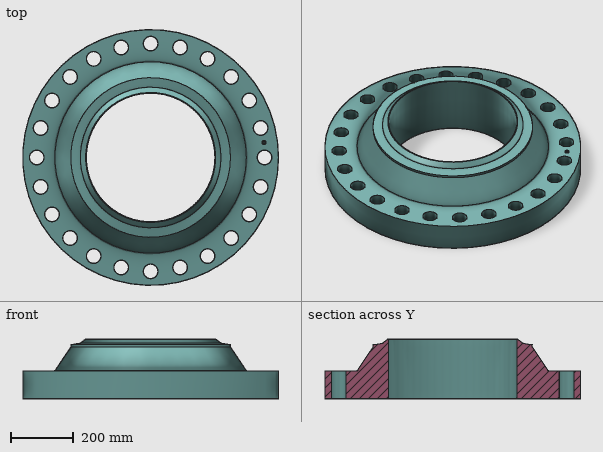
import cadquery as cq
import math

flange_diameter = 812.5
flange_thickness = 89

total_height = 190.0
hub_base_radius = 306.0
hub_foot_radius = 304.0
hub_foot_height = 0.4
rim_radius = 253.5
rim_bottom = 165.0
rim_top = 172.0
bevel_base_radius = 223.5
bevel_base_height = 177.0
bevel_step_height = 1.0
bevel_foot_radius = 223.0
bevel_top_radius = 206.0
bore_radius = 204.0

bolt_count = 24
bolt_hole_diameter = 45.5
bolt_circle_radius = 361.5
bolt_pitch_angle = 360 / bolt_count

small_hole_circle_radius = 363.0
small_hole_diameter = 6.5
small_hole_depth = 32.5
counterbore_diameter = 13.0
counterbore_depth = 2.0


def flange_body():
    """Revolve the half section of plate, hub and welding end around the Z axis."""
    outer_radius = flange_diameter / 2
    half_section = [
        (bore_radius, 0),
        (outer_radius, 0),
        (outer_radius, flange_thickness),
        (hub_base_radius, flange_thickness),
        (hub_foot_radius, flange_thickness + hub_foot_height),
        (rim_radius, rim_bottom),
        (rim_radius, rim_top),
        (bevel_base_radius, bevel_base_height),
        (bevel_foot_radius, bevel_base_height + bevel_step_height),
        (bevel_top_radius, total_height),
        (bore_radius, total_height),
    ]
    return cq.Workplane("XZ").polyline(half_section).close().revolve(360, (0, 0), (0, 1))


def bolt_holes():
    """Through holes evenly spaced on the bolt circle, the first one on +X."""
    return (
        cq.Workplane("XY")
        .polarArray(bolt_circle_radius, 0, 360, bolt_count)
        .circle(bolt_hole_diameter / 2)
        .extrude(flange_thickness)
    )


def drill_small_hole(body):
    """Sink the small counterbored hole into the top of the plate."""
    angle = math.radians(bolt_pitch_angle / 2)
    hole_x = small_hole_circle_radius * math.cos(angle)
    hole_y = small_hole_circle_radius * math.sin(angle)
    plate_top = cq.Workplane("XY", origin=(hole_x, hole_y, flange_thickness))
    counterbore = plate_top.circle(counterbore_diameter / 2).extrude(-counterbore_depth)
    hole = plate_top.circle(small_hole_diameter / 2).extrude(-small_hole_depth)
    return body.cut(counterbore).cut(hole)


result = drill_small_hole(flange_body().cut(bolt_holes()))